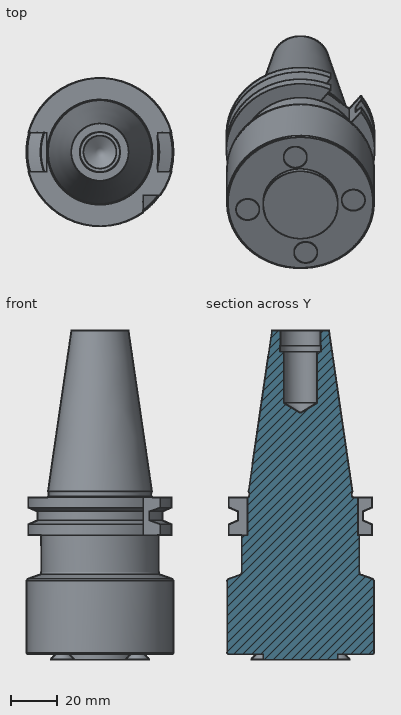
import cadquery as cq
import math

TOTAL_HEIGHT = 140.6
NUT_BOTTOM = 2.4
NUT_CONE_BOTTOM = 34.6
NUT_CONE_TOP = 36.5
NECK_CONE_TOP = 37.5
FLANGE_BOTTOM = 53.3
FLANGE_TOP = 69.3
RELIEF_TOP = 71.2
TAPER_BOTTOM = 72.0

NUT_RADIUS = 63.0 / 2
NUT_EDGE = 0.5
NUT_TOP_EDGE_HEIGHT = 0.8
NECK_RADIUS = 25.2
NECK_FOOT_RADIUS = 25.5
FLANGE_RADIUS = 63.5 / 2
RELIEF_RADIUS = 44.0 / 2
RELIEF_FOOT_RADIUS = 22.5
RELIEF_FOOT_HEIGHT = 0.5
TAPER_TOP_RADIUS = 12.2
TAPER_RATIO = 7 / 48
TAPER_BOTTOM_RADIUS = TAPER_TOP_RADIUS + TAPER_RATIO * (TOTAL_HEIGHT - TAPER_BOTTOM)

GROOVE_RADIUS = 28.0
GROOVE_MIDDLE = 61.5
GROOVE_FLOOR_WIDTH = 3.8
GROOVE_MOUTH_WIDTH = 7.2

SLOT_WIDTH = 16.6
LEFT_SLOT_FLOOR = 22.6
RIGHT_SLOT_FLOOR = 24.6
NOTCH_OFFSET = 18.4

BORE_RADIUS = 17.0 / 2
BORE_DEPTH = 6.5
UNDERCUT_RADIUS = 17.5 / 2
UNDERCUT_END_DEPTH = 9.0
THREAD_RADIUS = 14.0 / 2
THREAD_DEPTH = 31.0
DRILL_POINT_HALF_ANGLE = 59

COLLAR_RADIUS = 31.9 / 2
SCREW_OFFSET = 16.0
SCREW_NECK_RADIUS = 6.0 / 2
SCREW_HEAD_RADIUS = 10.0 / 2
SCREW_RIM_HEIGHT = 0.3


def turned_body():
    """Nut, neck, grooved flange and taper as one revolved profile."""
    groove_profile = [
        (FLANGE_RADIUS, GROOVE_MIDDLE - GROOVE_MOUTH_WIDTH / 2),
        (GROOVE_RADIUS, GROOVE_MIDDLE - GROOVE_FLOOR_WIDTH / 2),
        (GROOVE_RADIUS, GROOVE_MIDDLE + GROOVE_FLOOR_WIDTH / 2),
        (FLANGE_RADIUS, GROOVE_MIDDLE + GROOVE_MOUTH_WIDTH / 2),
    ]
    profile = [
        (0, NUT_BOTTOM),
        (NUT_RADIUS - NUT_EDGE, NUT_BOTTOM),
        (NUT_RADIUS, NUT_BOTTOM + NUT_EDGE),
        (NUT_RADIUS, NUT_CONE_BOTTOM - NUT_TOP_EDGE_HEIGHT),
        (NUT_RADIUS - NUT_EDGE, NUT_CONE_BOTTOM),
        (NECK_FOOT_RADIUS, NUT_CONE_TOP),
        (NECK_RADIUS, NECK_CONE_TOP),
        (NECK_RADIUS, FLANGE_BOTTOM),
        (FLANGE_RADIUS, FLANGE_BOTTOM),
        *groove_profile,
        (FLANGE_RADIUS, FLANGE_TOP),
        (RELIEF_FOOT_RADIUS, FLANGE_TOP),
        (RELIEF_RADIUS, FLANGE_TOP + RELIEF_FOOT_HEIGHT),
        (RELIEF_RADIUS, RELIEF_TOP),
        (TAPER_BOTTOM_RADIUS, TAPER_BOTTOM),
        (TAPER_TOP_RADIUS, TOTAL_HEIGHT),
        (0, TOTAL_HEIGHT),
    ]
    return cq.Workplane("XZ").polyline(profile).close().revolve(360, (0, 0), (0, 1))


def flange_cutter(x_start, x_end, y_start, y_end):
    """Box through the full flange height."""
    return cq.Workplane("XY").box(
        x_end - x_start, y_end - y_start, FLANGE_TOP - FLANGE_BOTTOM, centered=False
    ).translate((x_start, y_start, FLANGE_BOTTOM))


def slot_cutter(x_start, x_end):
    """Box for a drive slot, leaving the neck below it untouched."""
    return flange_cutter(x_start, x_end, -SLOT_WIDTH / 2, SLOT_WIDTH / 2)


def drawbar_bore():
    """Pilot bore, undercut and thread hole ending in a drill point."""
    bore_end_z = TOTAL_HEIGHT - BORE_DEPTH
    step_z = TOTAL_HEIGHT - UNDERCUT_END_DEPTH
    thread_end_z = TOTAL_HEIGHT - THREAD_DEPTH
    point_z = thread_end_z - THREAD_RADIUS / math.tan(math.radians(DRILL_POINT_HALF_ANGLE))
    profile = [
        (0, TOTAL_HEIGHT),
        (BORE_RADIUS, TOTAL_HEIGHT),
        (BORE_RADIUS, bore_end_z),
        (UNDERCUT_RADIUS, bore_end_z),
        (UNDERCUT_RADIUS, step_z),
        (THREAD_RADIUS, step_z),
        (THREAD_RADIUS, thread_end_z),
        (0, point_z),
    ]
    return cq.Workplane("XZ").polyline(profile).close().revolve(360, (0, 0), (0, 1))


def screw_head():
    """Flared screw head hanging from the nut, widest at the bottom."""
    profile = [
        (0, 0),
        (SCREW_HEAD_RADIUS, 0),
        (SCREW_HEAD_RADIUS, SCREW_RIM_HEIGHT),
        (SCREW_NECK_RADIUS, NUT_BOTTOM),
        (0, NUT_BOTTOM),
    ]
    return cq.Workplane("XZ").polyline(profile).close().revolve(360, (0, 0), (0, 1))


result = turned_body()
result = result.cut(slot_cutter(-FLANGE_RADIUS, -LEFT_SLOT_FLOOR))
result = result.cut(slot_cutter(RIGHT_SLOT_FLOOR, FLANGE_RADIUS))
result = result.cut(flange_cutter(NOTCH_OFFSET, FLANGE_RADIUS, -FLANGE_RADIUS, -NOTCH_OFFSET))
result = result.cut(drawbar_bore())
result = result.union(cq.Workplane("XY").circle(COLLAR_RADIUS).extrude(NUT_BOTTOM))
for x_side in (-1, 1):
    for y_side in (-1, 1):
        position = (x_side * SCREW_OFFSET, y_side * SCREW_OFFSET, 0)
        result = result.union(screw_head().translate(position))